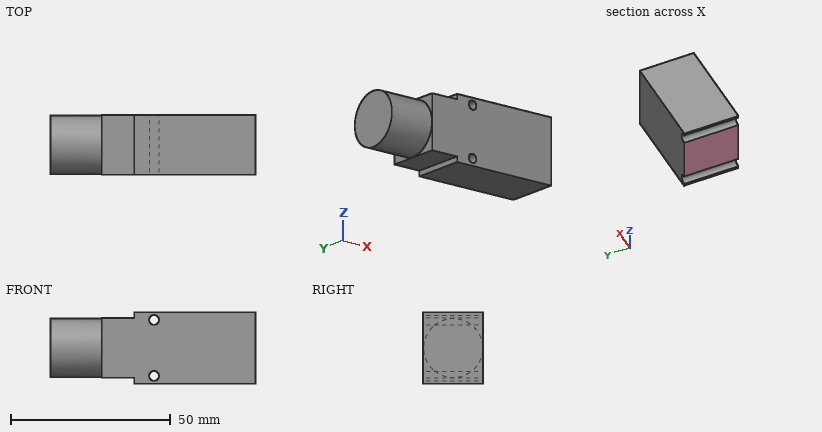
import cadquery as cq

total_length = 64.2
width = 18.8
body_height = 22.5

nose_length = 16.1
nose_diameter = 18.5
neck_length = 10.1
neck_height = width
body_start = nose_length + neck_length
body_length = total_length - body_start

hole_diameter = 3.0
hole_spacing = 17.5
hole_setback = 6.2


def block(start, length, height):
    """Full-width block centred on the X axis, starting at x = start."""
    return cq.Workplane("XY").box(length, width, height, centered=(False, True, True)).translate((start, 0, 0))


nose = cq.Workplane("YZ").circle(nose_diameter / 2).extrude(nose_length)
neck = block(nose_length, neck_length, neck_height)
body = block(body_start, body_length, body_height)

hole_x = body_start + hole_setback
mounting_holes = (
    cq.Workplane("XZ")
    .pushPoints([(hole_x, side * hole_spacing / 2) for side in (-1, 1)])
    .circle(hole_diameter / 2)
    .extrude(width / 2, both=True)
)

result = nose.union(neck).union(body).cut(mounting_holes)